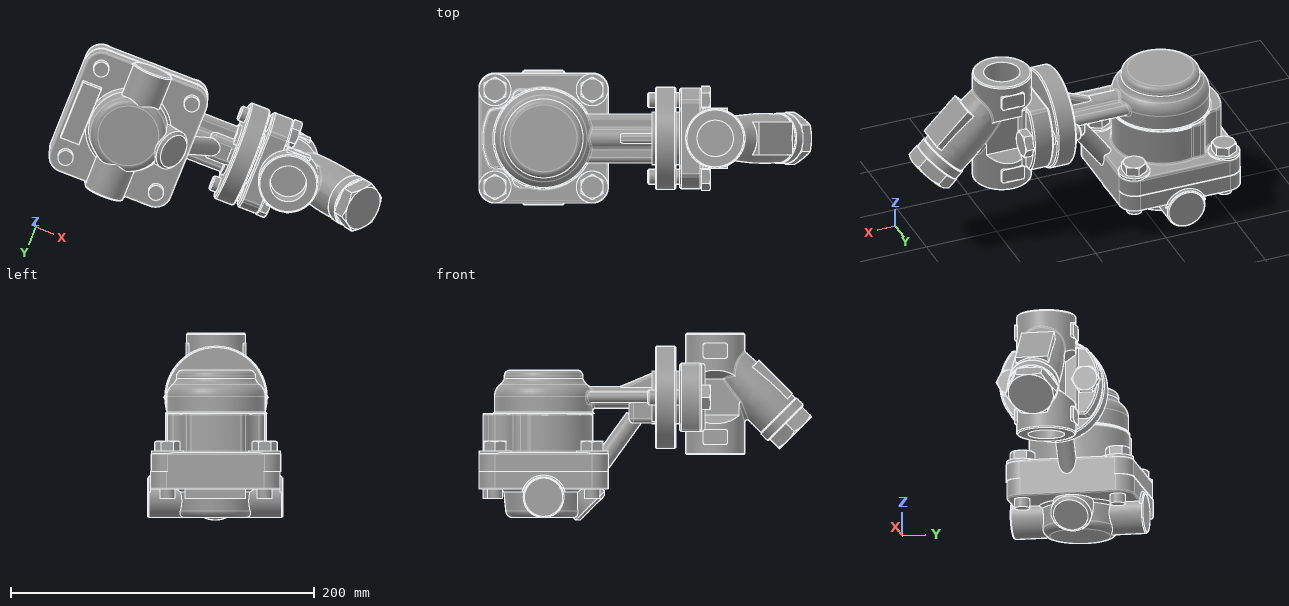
import cadquery as cq
import math


plate_size = 85.3
plate_top = -36.2
split_z = -48.7
plate_bottom = -60.4
bolt_pitch = 64.0
seat_diameter = 21.0
seat_height = 1.0
plate_corner_radius = plate_size / 2 - bolt_pitch / 2
plate_edge_round = 1.4
cover_edge_round = 0.7
cover_shift = 0.5
body_bolt_flats = 14.5
body_bolt_head = 6.4
body_stud_diameter = 10.0
stud_end_z = -66.6

barrel_radius = 33.2
barrel_offset = -0.7
barrel_top = -10.6
barrel_edge_round = 1.0
barrel_foot_round = 0.9
lobe_radius = 40.0
lobe_notch_radius = 12.5
lobe_corner_round = 5.0
dome_radius = 32.4
dome_spring_z = 0.7
dome_foot_flare = 1.0
dome_shoulder_radius = 10.0
dome_shoulder_angle = 52.0
neck_radius = 26.0
neck_bottom = 12.4
neck_top = 14.0
dome_top = 18.0
dome_top_round = dome_top - neck_top

bowl_radius = 26.2
bowl_low_radius = 24.6
bowl_flare = 2.0
bowl_bottom = -79.2
bowl_round = 5.0
port_diameter = 26.8
port_length = 89.0
port_axis_z = -65.7
port_chamfer = 0.8
port_flare = 1.2
drain_pad_face_x = -40.0
drain_pad_width = 40.0
drain_pad_length = 13.0
drain_pad_bottom = -66.6
plug_diameter = 27.0
plug_chamfer = 2.0
plug_centre_x = 32.1
part_bottom = -80.78
plug_depth = 22.0

arm_diameter = 14.5
bar_width = 32.4
bar_thickness = 7.0
bar_groove_round = 2.2
arm_root_round = 1.5
rib_start_x = 50.5
rib_height = 16.0
rib_thickness = 6.6
rib_edge_round = 2.0
riser_boss_x = 56.2
riser_boss_bottom = -17.0
riser_boss_width = 16.0
riser_boss_round = 3.0
riser_diameter = 12.0
riser_top = (59.6, -13.3)
riser_bottom = (27.0, -58.5)

hub_diameter = 35.0
hub_left_x = 71.3
flange_left_x = 73.5
flange_right_x = 87.1
flange_diameter = 67.5
flange_round = 0.9
flange_bolt_y = 25.2
flange_bolt_diameter = 10.0
flange_bolt_start_x = 68.5
flange_bolt_flats = 16.0
flange_bolt_head_end_x = 109.9

valve_flange_left_x = 89.6
valve_flange_right_x = 103.9
valve_flange_diameter = 66.6
valve_flange_height = 45.0
valve_flange_corner = 3.0
valve_flange_chamfer = 1.1
neck_end_x = 106.2
neck_width = 39.8
neck_height = 44.6
neck_round = 1.8
valve_x = 113.0
stub_diameter = 39.0
valve_top = 42.3
valve_length = 80.0
stub_chamfer = 0.8
bore_diameter = 24.0
bore_depth = 16.0
waist_top = 17.8
waist_bottom = -17.3
waist_slope_height = 5.6
waist_width = 23.0
waist_end_x = 128.0
pad_width = 16.0
pad_height = 10.0
pad_across = 39.7
pad_corner = 1.5
pad_end_distance = 11.6

strainer_end_x = 165.87
strainer_end_z = -23.3
cap_flats = 30.0
cap_height = 9.0
collar_radius = 16.7
collar_length = 7.3
collar_chamfer = 0.6
strainer_root_round = 1.5
strainer_sections = [
    (72.0, 1.0, 13.0, 13.0),
    (57.0, 0.3, 14.2, 14.8),
    (36.0, 0.0, 15.8, 16.4),
    (16.3, 0.0, 16.0, 16.0),
]
grip_start = 50.8
grip_end = 19.6
grip_width = 21.8
grip_offset = 16.8


def cylinder_along_x(x_start, x_end, diameter, y=0.0, z=0.0):
    """Cylinder parallel to X between two X positions."""
    return (cq.Workplane("YZ", origin=(x_start, y, z))
            .circle(diameter / 2).extrude(x_end - x_start))


def hex_head(plane, flats, height, turn=0.0):
    """Hexagon head with its top corners chamfered by a 30 degree cone."""
    corners = flats / math.cos(math.pi / 6)
    drop = (corners - flats) / 2 * math.tan(math.pi / 6)
    prism = cq.Workplane(plane).transformed(rotate=(0, 0, turn)).polygon(6, corners).extrude(height)
    trim = cq.Workplane(plane).circle(corners / 2).extrude(height)
    return prism.intersect(trim.faces(cq.NearestToPointSelector(
        (plane.origin + plane.zDir * height).toTuple())).chamfer(drop, (corners - flats) / 2))


def bolt_positions():
    half = bolt_pitch / 2
    return [(x, y) for x in (-half, half) for y in (-half, half)]


def plate(bottom, top):
    return (cq.Workplane("XY").workplane(offset=bottom).rect(plate_size, plate_size)
            .extrude(top - bottom).edges("|Z").fillet(plate_corner_radius))


def lobed_barrel():
    """Cylindrical barrel with a lobe toward -X, hollowed around the -X bolts."""
    height = barrel_top - plate_top
    base = cq.Workplane("XY").workplane(offset=plate_top)
    lobe = base.circle(lobe_radius).extrude(height)
    lobe_side = base.center(-lobe_radius, 0).rect(2 * lobe_radius, bolt_pitch).extrude(height)
    lobe = lobe.intersect(lobe_side)
    barrel = base.center(barrel_offset, 0).circle(barrel_radius).extrude(height).union(lobe)
    left_bolts = [p for p in bolt_positions() if p[0] < 0]
    notches = base.pushPoints(left_bolts).circle(lobe_notch_radius).extrude(height)
    return barrel.cut(notches).edges("|Z and (not >X)").fillet(lobe_corner_round)


def dome():
    """Turned cap of the trap."""
    angle = math.radians(dome_shoulder_angle)
    arc_x = dome_radius - dome_shoulder_radius

    def shoulder(a):
        return (arc_x + dome_shoulder_radius * math.cos(a),
                dome_spring_z + dome_shoulder_radius * math.sin(a))

    top_radius = neck_radius - dome_top_round
    diagonal = dome_top_round * math.sqrt(0.5)
    profile = (cq.Workplane("XZ").moveTo(0, plate_top).lineTo(dome_radius, plate_top)
               .lineTo(dome_radius, barrel_top).lineTo(dome_radius + dome_foot_flare, barrel_top)
               .lineTo(dome_radius, barrel_top + dome_foot_flare)
               .lineTo(dome_radius, dome_spring_z)
               .threePointArc(shoulder(angle / 2), shoulder(angle))
               .tangentArcPoint((neck_radius, neck_bottom), relative=False)
               .lineTo(neck_radius, neck_top)
               .threePointArc((top_radius + diagonal, neck_top + diagonal), (top_radius, dome_top))
               .lineTo(0, dome_top).close())
    return profile.revolve(360, (0, 0, 0), (0, 1, 0))


def trap_body():
    foot_reach = lobe_radius + barrel_foot_round
    upper = plate(split_z, plate_top).faces(">Z").edges().fillet(plate_edge_round)
    barrel = lobed_barrel().faces(">Z").edges().fillet(barrel_edge_round)
    body = upper.union(barrel)
    body = body.edges(cq.selectors.BoxSelector(
        (-foot_reach, -foot_reach, plate_top - barrel_foot_round),
        (foot_reach, foot_reach, plate_top + barrel_foot_round), boundingbox=True))
    body = body.fillet(barrel_foot_round).union(dome())
    seats = (cq.Workplane("XY").workplane(offset=split_z).pushPoints(bolt_positions())
             .circle(seat_diameter / 2).extrude(plate_top + seat_height - split_z))
    return body.union(seats)


def body_bolts():
    bolts = (cq.Workplane("XY").workplane(offset=stud_end_z).pushPoints(bolt_positions())
             .circle(body_stud_diameter / 2).extrude(split_z - stud_end_z))
    for x, y in bolt_positions():
        seat = cq.Plane(origin=(x, y, plate_top + seat_height))
        bolts = bolts.union(hex_head(seat, body_bolt_flats, body_bolt_head, turn=30))
    return bolts


def cover():
    """Lower plate with bowl, side ports, drain pad and sloping plug."""
    bowl = (cq.Workplane("XZ").moveTo(0, split_z).lineTo(bowl_radius + bowl_flare, split_z)
            .lineTo(bowl_radius + bowl_flare, plate_bottom)
            .lineTo(bowl_radius, plate_bottom - bowl_flare).lineTo(bowl_low_radius, bowl_bottom)
            .lineTo(0, bowl_bottom).close().revolve(360, (0, 0, 0), (0, 1, 0))
            .faces("<Z").edges().fillet(bowl_round))
    ports = (cq.Workplane("XZ", origin=(0, port_length / 2, port_axis_z))
             .circle(port_diameter / 2).extrude(port_length)
             .faces("<Y or >Y").edges().chamfer(port_chamfer))
    collar_bottom = plate_bottom - bowl_flare
    collar_zone = (cq.Workplane("XY", origin=(0, 0, collar_bottom))
                   .rect(plate_size, 2 * port_length).extrude(split_z - collar_bottom))
    for side in (-1, 1):
        flare = (cq.Workplane(cq.Plane(origin=(0, side * plate_size / 2, port_axis_z),
                                       xDir=(1, 0, 0), normal=(0, side, 0)))
                 .circle(port_diameter / 2 + port_flare).extrude(port_flare, taper=45))
        ports = ports.union(flare.intersect(collar_zone))
    drain_pad = cq.Workplane("XY").box(
        drain_pad_length, drain_pad_width, split_z - drain_pad_bottom, centered=(False, True, False)
    ).translate((drain_pad_face_x, 0, drain_pad_bottom))
    plug_face_radius = plug_diameter / 2 - plug_chamfer
    plug_centre_z = part_bottom + plug_face_radius * math.sqrt(0.5)
    plug = (cq.Workplane(cq.Plane(origin=(plug_centre_x, 0, plug_centre_z),
                                  xDir=(0, 1, 0), normal=(-1, 0, 1)))
            .circle(plug_diameter / 2).extrude(plug_depth)
            .faces(">(1, 0, -1)").edges().chamfer(plug_chamfer))
    lower = plate(plate_bottom, split_z).faces("<Z").edges().fillet(cover_edge_round)
    return (lower.union(bowl).union(ports)
            .union(drain_pad).union(plug).translate((0, cover_shift, 0)))


def arm():
    """Round tube with two side bars, a top rib and the sloping riser pipe."""
    tube = cylinder_along_x(0, flange_left_x, arm_diameter)
    web = cq.Workplane("YZ").slot2D(bar_width, bar_thickness).extrude(flange_left_x)
    groove_zone = cq.selectors.BoxSelector(
        (0, -arm_diameter / 2, -arm_diameter / 2), (flange_left_x, arm_diameter / 2, arm_diameter / 2))
    beam = tube.union(web).edges("|X").edges(groove_zone).fillet(bar_groove_round)
    rib = (cq.Workplane("XZ").moveTo(rib_start_x, 0).lineTo(rib_start_x, arm_diameter / 2)
           .lineTo(hub_left_x, rib_height).lineTo(hub_left_x, 0).close()
           .extrude(rib_thickness / 2, both=True)
           .edges("not (|X or |Y or |Z)").fillet(rib_edge_round))
    boss = (cq.Workplane("XY")
            .box(flange_left_x - riser_boss_x, riser_boss_width, -riser_boss_bottom,
                 centered=(False, True, False))
            .translate((riser_boss_x, 0, riser_boss_bottom))
            .edges("<X or <Z").edges("not >X").edges("not >Z").fillet(riser_boss_round))
    run = riser_bottom[0] - riser_top[0]
    drop = riser_bottom[1] - riser_top[1]
    riser = (cq.Workplane(cq.Plane(origin=(riser_top[0], 0, riser_top[1]),
                                   xDir=(0, 1, 0), normal=(run, 0, drop)))
             .circle(riser_diameter / 2).extrude(math.hypot(run, drop)))
    return beam.union(rib).union(boss).union(riser)


def connector_flange():
    hub = cylinder_along_x(hub_left_x, valve_flange_left_x, hub_diameter)
    disc = (cylinder_along_x(flange_left_x, flange_right_x, flange_diameter)
            .edges().chamfer(flange_round))
    flange = hub.union(disc)
    for y in (-flange_bolt_y, flange_bolt_y):
        stud = (cylinder_along_x(flange_bolt_start_x, valve_flange_right_x, flange_bolt_diameter, y)
                .faces("<X").edges().chamfer(flange_round))
        seat = cq.Plane(origin=(valve_flange_right_x, y, 0), xDir=(0, 1, 0), normal=(1, 0, 0))
        head = hex_head(seat, flange_bolt_flats, flange_bolt_head_end_x - valve_flange_right_x)
        flange = flange.union(stud).union(head)
    return flange


def valve_flange():
    """Round flange with flat top and bottom."""
    disc = cylinder_along_x(valve_flange_left_x, valve_flange_right_x, valve_flange_diameter)
    slab = (cq.Workplane("XY").box(valve_flange_diameter, valve_flange_diameter, valve_flange_height)
            .translate((valve_flange_right_x, 0, 0)))
    return (disc.intersect(slab).edges("|X").fillet(valve_flange_corner)
            .faces("<X or >X").edges().chamfer(valve_flange_chamfer))


def valve_neck():
    """Rounded block joining the valve flange to the pipe ends."""
    length = neck_end_x - valve_flange_left_x - valve_flange_chamfer
    return (cq.Workplane("XY").box(length, neck_width, neck_height)
            .translate((neck_end_x - length / 2, 0, 0))
            .edges(">X").fillet(neck_round))


def valve_stubs():
    """Upper and lower pipe ends with a narrower waist between them."""
    bottom = valve_top - valve_length
    stem = (cq.Workplane("XY", origin=(valve_x, 0, bottom))
            .circle(stub_diameter / 2).extrude(valve_length)
            .faces("<Z or >Z").edges().chamfer(stub_chamfer))
    edge = stub_diameter / 2
    for side in (-1, 1):
        relief = (cq.Workplane("YZ", origin=(valve_x, 0, 0))
                  .moveTo(side * edge, waist_bottom)
                  .lineTo(side * waist_width / 2, waist_bottom + waist_slope_height)
                  .lineTo(side * waist_width / 2, waist_top - waist_slope_height)
                  .lineTo(side * edge, waist_top).close().extrude(edge, both=True))
        stem = stem.cut(relief)
    waist = (cq.Workplane("XY", origin=(valve_flange_right_x, -waist_width / 2, waist_bottom))
             .rect(waist_end_x - valve_flange_right_x, waist_width, centered=False)
             .extrude(waist_top - waist_bottom))
    return stem.union(waist)


def wrench_pads():
    """Flat rounded pads on both sides of each pipe end."""
    bottom = valve_top - valve_length
    pads = cq.Workplane("XZ", origin=(valve_x, 0, 0)).pushPoints(
        [(0, valve_top - pad_end_distance), (0, bottom + pad_end_distance)])
    return (pads.rect(pad_width, pad_height).extrude(pad_across / 2, both=True)
            .edges("|Y").fillet(pad_corner))


def cut_bores(valve):
    """Blind pipe bores in both ends of the valve."""
    bottom = valve_top - valve_length
    for z in (bottom, valve_top - bore_depth):
        bore = cq.Workplane("XY", origin=(valve_x, 0, z)).circle(bore_diameter / 2).extrude(bore_depth)
        valve = valve.cut(bore)
    return valve


def strainer_plane(back, offset=0.0):
    """Plane across the strainer axis, `back` before its end face; local Y points up and toward +X."""
    shift = math.sqrt(0.5)
    return cq.Plane(origin=(strainer_end_x + (offset - back) * shift, 0,
                            strainer_end_z + (offset + back) * shift),
                    xDir=(0, 1, 0), normal=(1, 0, -1))


def strainer():
    wires = []
    for back, offset, half_depth, half_width in strainer_sections:
        section = cq.Workplane(strainer_plane(back, offset)).ellipse(half_width, half_depth)
        wires.append(section.wires().val())
    barrel = cq.Workplane(cq.Solid.makeLoft(wires))
    collar = (cq.Workplane(strainer_plane(cap_height + collar_length))
              .circle(collar_radius).extrude(collar_length).edges().chamfer(collar_chamfer))
    cap = hex_head(strainer_plane(cap_height), cap_flats, cap_height)
    grip = (cq.Workplane(strainer_plane(grip_start)).center(0, grip_offset / 2)
            .rect(grip_width, grip_offset).extrude(grip_start - grip_end))
    return barrel.union(collar).union(cap).union(grip)


def trap_with_arm():
    """Trap body and arm, blended where the arm leaves the dome."""
    joined = trap_body().union(arm())
    inner_x = dome_radius - dome_shoulder_radius
    root_zone = cq.selectors.BoxSelector(
        (inner_x, -dome_radius, barrel_top + dome_foot_flare),
        (dome_radius + dome_foot_flare, dome_radius, neck_bottom), boundingbox=True)
    return joined.edges(root_zone).fillet(arm_root_round)


def strainer_valve():
    """Valve casting with the strainer barrel blended into it, bored from both ends."""
    joined = valve_flange().union(valve_neck()).union(valve_stubs()).union(strainer())
    reach = stub_diameter / 2
    root_zone = cq.selectors.BoxSelector(
        (neck_end_x, -reach, waist_bottom), (waist_end_x + reach / 2, reach, valve_top - pad_end_distance),
        boundingbox=True)
    joined = joined.edges("%BSPLINE").edges(root_zone).fillet(strainer_root_round)
    return cut_bores(joined.union(wrench_pads()))


trap = trap_with_arm().union(body_bolts()).union(cover())
result = trap.union(connector_flange()).union(strainer_valve())